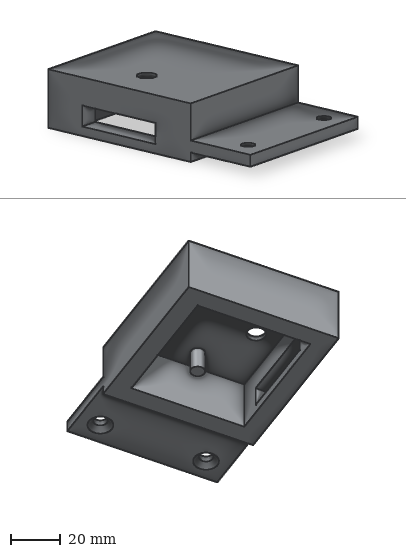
import cadquery as cq

length = 105.0
width = 67.8
height = 24.6

body_length = 74.0
top_thickness = 2.2
wall_thickness = 8.4

plate_bottom = 4.0
plate_thickness = 5.0
plate_length = length - body_length

screw_diameter = 5.8
screw_spacing = 47.8
screw_end_distance = 9.5
screw_straight_depth = 2.7
sink_depth = plate_thickness - screw_straight_depth
sink_diameter = screw_diameter + 2 * sink_depth

top_hole_diameter = 8.0
top_hole_x = 36.0
top_hole_y = 18.5

slot_left = 17.6
slot_width = 38.1
slot_bottom = plate_bottom
slot_height = 8.8

boss_diameter = 6.0
boss_x = 57.1
boss_y = width / 2
boss_bottom = 12.6


def block(x, y, z, size_x, size_y, size_z):
    """Box with its lowest corner at (x, y, z)."""
    return cq.Workplane("XY").box(size_x, size_y, size_z, centered=False).translate((x, y, z))


def cylinder(x, y, z, diameter, depth):
    """Upright cylinder standing on (x, y, z)."""
    return cq.Workplane("XY").circle(diameter / 2).extrude(depth).translate((x, y, z))


def housing():
    """Open-bottomed box with the slot, the top hole and the hanging boss."""
    shell = block(0, 0, 0, body_length, width, height)
    cavity = block(
        wall_thickness,
        wall_thickness,
        0,
        body_length - 2 * wall_thickness,
        width - 2 * wall_thickness,
        height - top_thickness,
    )
    slot = block(slot_left, 0, slot_bottom, slot_width, wall_thickness, slot_height)
    top_hole = cylinder(top_hole_x, top_hole_y, 0, top_hole_diameter, height)
    boss = cylinder(boss_x, boss_y, boss_bottom, boss_diameter, height - boss_bottom)
    return shell.cut(cavity).cut(slot).cut(top_hole).union(boss)


def mounting_plate():
    """Flat plate with two countersunk screw holes."""
    plate = block(body_length, 0, plate_bottom, plate_length, width, plate_thickness)
    for side in (-1, 1):
        x = length - screw_end_distance
        y = width / 2 + side * screw_spacing / 2
        hole = cylinder(x, y, plate_bottom, screw_diameter, plate_thickness)
        sink = cq.Solid.makeCone(sink_diameter / 2, screw_diameter / 2, sink_depth, cq.Vector(x, y, plate_bottom))
        plate = plate.cut(hole).cut(sink)
    return plate


result = housing().union(mounting_plate())